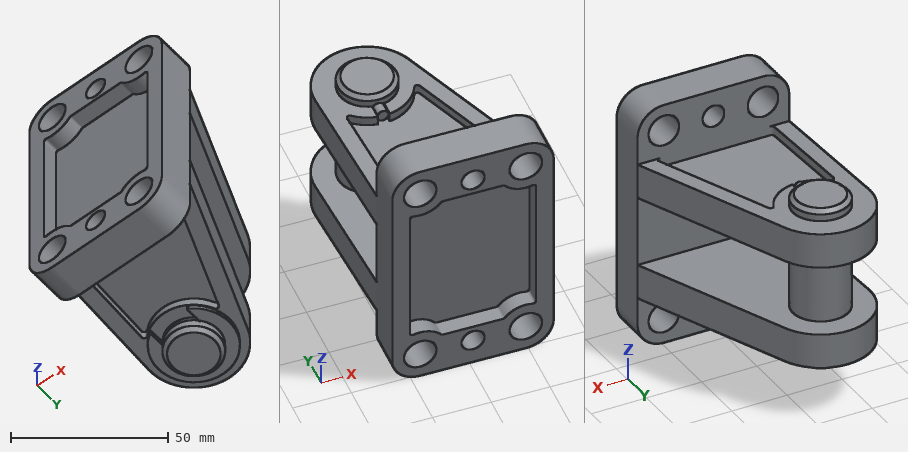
import cadquery as cq
import math


OVERALL_WIDTH = 57.5
OVERALL_DEPTH = 81.0

PLATE_WIDTH = 55.0
PLATE_HEIGHT = 89.0
PLATE_THICKNESS = 14.0
BOLT_SPACING_X = 36.0
BOLT_SPACING_Z = 69.95
BOLT_HOLE_DIAMETER = 11.0
DOWEL_HOLE_DIAMETER = 7.8

BASE_WALL = 6.05
BASE_POCKET_HEIGHT = 58.2
BASE_POCKET_DEPTH = 6.0
BOLT_BOSS_RADIUS = 9.4
POCKET_FILLET = 1.0

LEG_THICKNESS = 12.5
LEG_GAP = 25.1
LEG_END_RADIUS = 18.0
LEG_WALL = 6.0
LEG_POCKET_DEPTH = 3.3
PIN_BOSS_RADIUS = 15.0

PIN_DIAMETER = 20.0
PIN_CHAMFER = 1.5
PIN_TOP_PROJECTION = 4.0
PIN_BOTTOM_PROJECTION = 6.05
PEG_DIAMETER = 4.0
PEG_LENGTH = 4.0
PEG_RISE = 1.0

CLIP_DIAMETER = 29.4
CLIP_THICKNESS = 1.5
CLIP_TIP_REACH = 12.4
GROOVE_DIAMETER = 15.0

PLATE_CORNER_RADIUS = (PLATE_WIDTH - BOLT_SPACING_X) / 2
BOLT_X = BOLT_SPACING_X / 2
BOLT_Z = BOLT_SPACING_Z / 2
PIN_X = PLATE_WIDTH / 2 - OVERALL_WIDTH + LEG_END_RADIUS
PIN_Y = OVERALL_DEPTH - LEG_END_RADIUS
LEG_INNER_Z = LEG_GAP / 2
LEG_OUTER_Z = LEG_INNER_Z + LEG_THICKNESS
POCKET_FLOOR_Z = LEG_OUTER_Z - LEG_POCKET_DEPTH
CLIP_TOP = -LEG_OUTER_Z
CLIP_BOTTOM = CLIP_TOP - CLIP_THICKNESS
PEG_Z = LEG_OUTER_Z + PEG_RISE - PEG_DIAMETER / 2


def upright_cylinder(x, y, diameter, bottom, top):
    """Cylinder along Z between two heights."""
    return cq.Workplane("XY", origin=(x, y, bottom)).circle(diameter / 2).extrude(top - bottom)


def flank_direction(side):
    """Angle of the outward normal of a leg flank; side is -1 for the -X flank, 1 for the +X flank.

    The flank runs from the plate corner and is tangent to the round leg end.
    """
    across = side * PLATE_WIDTH / 2 - PIN_X
    along = PLATE_THICKNESS - PIN_Y
    return math.atan2(along, across) + side * math.acos(LEG_END_RADIUS / math.hypot(across, along))


def flank_foot(side, inset):
    """Point where a flank, moved inward by inset, meets the back of the plate."""
    angle = flank_direction(side)
    distance = LEG_END_RADIUS - inset
    along = PLATE_THICKNESS - PIN_Y
    x = PIN_X + (distance - along * math.sin(angle)) / math.cos(angle)
    return x, PLATE_THICKNESS


def flank_top(side, inset):
    """Point of a flank, moved inward by inset, nearest to the pin axis."""
    angle = flank_direction(side)
    distance = LEG_END_RADIUS - inset
    return PIN_X + distance * math.cos(angle), PIN_Y + distance * math.sin(angle)


def make_plate():
    plate = (
        cq.Workplane("XZ")
        .rect(PLATE_WIDTH, PLATE_HEIGHT)
        .extrude(-PLATE_THICKNESS)
        .edges("|Y")
        .fillet(PLATE_CORNER_RADIUS)
    )
    bolt_holes = (
        cq.Workplane("XZ")
        .rect(BOLT_SPACING_X, BOLT_SPACING_Z, forConstruction=True)
        .vertices()
        .circle(BOLT_HOLE_DIAMETER / 2)
        .extrude(-PLATE_THICKNESS)
    )
    dowel_holes = (
        cq.Workplane("XZ")
        .pushPoints([(0, -BOLT_Z), (0, BOLT_Z)])
        .circle(DOWEL_HOLE_DIAMETER / 2)
        .extrude(-PLATE_THICKNESS)
    )
    return plate.cut(bolt_holes).cut(dowel_holes).cut(make_base_pocket())


def boss_reach(offset):
    """Distance along one axis from a bolt to its boss arc, at the given offset along the other axis."""
    return math.sqrt(BOLT_BOSS_RADIUS**2 - offset**2)


def make_base_pocket():
    """Pocket that bends around the four bolt bosses, mirrored from one quarter."""
    half_width = PLATE_WIDTH / 2 - BASE_WALL
    half_height = BASE_POCKET_HEIGHT / 2
    arc_start = (BOLT_X - boss_reach(BOLT_Z - half_height), half_height)
    arc_middle = (BOLT_X, BOLT_Z - BOLT_BOSS_RADIUS)
    arc_end = (half_width, BOLT_Z - boss_reach(half_width - BOLT_X))
    quarter = (
        cq.Workplane("XZ")
        .lineTo(0, half_height)
        .lineTo(*arc_start)
        .threePointArc(arc_middle, arc_end)
        .lineTo(half_width, 0)
        .close()
        .extrude(-BASE_POCKET_DEPTH)
    )
    for x, z in [arc_start, arc_end]:
        corner = cq.selectors.NearestToPointSelector((x, BASE_POCKET_DEPTH / 2, z))
        quarter = quarter.edges("|Y").edges(corner).fillet(POCKET_FILLET)
    half = quarter.union(quarter.mirror("YZ"))
    return half.union(half.mirror("XY"))


def make_leg():
    """Upper leg, with the pin hole and the pocket in its outer face."""
    leg = (
        cq.Workplane("XY", origin=(0, 0, LEG_INNER_Z))
        .moveTo(*flank_foot(-1, 0))
        .lineTo(*flank_top(-1, 0))
        .threePointArc((PIN_X, PIN_Y + LEG_END_RADIUS), flank_top(1, 0))
        .lineTo(*flank_foot(1, 0))
        .close()
        .extrude(LEG_THICKNESS)
    )
    pin_hole = upright_cylinder(PIN_X, PIN_Y, PIN_DIAMETER, LEG_INNER_Z, LEG_OUTER_Z)
    return leg.cut(pin_hole).cut(make_leg_pocket())


def make_leg_pocket():
    """Pocket between the flanks, ending in an arc around the pin."""
    corners = [
        flank_foot(-1, LEG_WALL),
        flank_top(-1, LEG_WALL),
        flank_top(1, LEG_WALL),
        flank_foot(1, LEG_WALL),
    ]
    pocket = (
        cq.Workplane("XY", origin=(0, 0, POCKET_FLOOR_Z))
        .polyline(corners)
        .close()
        .extrude(LEG_POCKET_DEPTH)
    )
    boss = upright_cylinder(PIN_X, PIN_Y, 2 * PIN_BOSS_RADIUS, POCKET_FLOOR_Z, LEG_OUTER_Z)
    return pocket.cut(boss).edges("|Z").fillet(POCKET_FILLET)


def make_peg_slot():
    """Slot for the locking peg, from the pin hole to the pocket of the upper leg."""
    return (
        cq.Workplane("XY", origin=(PIN_X, PIN_Y - PIN_BOSS_RADIUS / 2, POCKET_FLOOR_Z))
        .rect(PEG_DIAMETER, PIN_BOSS_RADIUS)
        .extrude(LEG_POCKET_DEPTH)
    )


def make_bracket():
    upper_leg = make_leg()
    lower_leg = upper_leg.mirror("XY")
    return make_plate().union(upper_leg.cut(make_peg_slot())).union(lower_leg)


def make_pivot_pin():
    pin = upright_cylinder(
        PIN_X,
        PIN_Y,
        PIN_DIAMETER,
        -LEG_OUTER_Z - PIN_BOTTOM_PROJECTION,
        LEG_OUTER_Z + PIN_TOP_PROJECTION,
    )
    pin = pin.faces("<Z or >Z").chamfer(PIN_CHAMFER)
    peg = (
        cq.Workplane("XZ", origin=(PIN_X, PIN_Y, PEG_Z))
        .circle(PEG_DIAMETER / 2)
        .extrude(PIN_DIAMETER / 2 + PEG_LENGTH)
    )
    return pin.union(peg).cut(make_clip_groove())


def make_clip_groove():
    """Ring-shaped cut that leaves the pin's groove diameter just below the lower leg."""
    outer = upright_cylinder(PIN_X, PIN_Y, PIN_DIAMETER, CLIP_BOTTOM, CLIP_TOP)
    return outer.cut(upright_cylinder(PIN_X, PIN_Y, GROOVE_DIAMETER, CLIP_BOTTOM, CLIP_TOP))


def make_retaining_clip():
    """C-shaped clip that seats in the pin groove, with a straight mouth and flat tips."""
    disc = upright_cylinder(PIN_X, PIN_Y, CLIP_DIAMETER, CLIP_BOTTOM, CLIP_TOP)
    tip_trim = (
        cq.Workplane("XY", origin=(PIN_X, PIN_Y - CLIP_TIP_REACH - CLIP_DIAMETER / 2, CLIP_BOTTOM))
        .rect(CLIP_DIAMETER, CLIP_DIAMETER)
        .extrude(CLIP_THICKNESS)
    )
    mouth = (
        cq.Workplane("XY", origin=(PIN_X, PIN_Y - CLIP_DIAMETER / 2, CLIP_BOTTOM))
        .rect(GROOVE_DIAMETER, CLIP_DIAMETER)
        .extrude(CLIP_THICKNESS)
    )
    seat = upright_cylinder(PIN_X, PIN_Y, GROOVE_DIAMETER, CLIP_BOTTOM, CLIP_TOP)
    return disc.cut(tip_trim).cut(mouth).cut(seat)


bracket = make_bracket()
pivot_pin = make_pivot_pin()
retaining_clip = make_retaining_clip()

result = cq.Compound.makeCompound([bracket.val(), pivot_pin.val(), retaining_clip.val()])